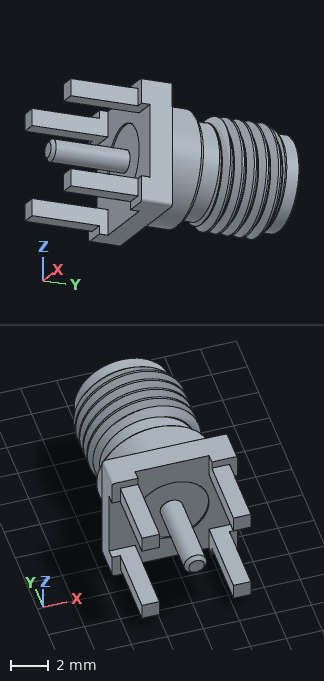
import cadquery as cq
import math


total_length = 13.5
foot_face = 3.9
plate_bottom = 4.4
plate_top = 5.7
collar_top = 7.7
thread_start = 8.8
thread_end = 12.7

plate_width = 7.0
plate_corner_radius = 0.19
leg_width = 0.99
leg_inner = 2.05

collar_radius = 3.25
collar_chamfer = 0.2
barrel_radius = 2.67
barrel_chamfer = 0.1

thread_pitch = 0.7
crest_radius = 3.12
root_radius = 2.69
crest_flat = 0.12
root_flat = 0.05
lead_in_turns = 2
lead_out_turns = 1
first_root_height = 0.12

insulator_radius = 2.05
insulator_recess = 0.1
pin_radius = 0.63
pin_chamfer = 0.2


def rod(radius, start, end):
    """Cylinder on the Y axis from start to end."""
    return cq.Workplane("XZ", origin=(0, start, 0)).circle(radius).extrude(start - end)


def make_thread():
    """Threaded sleeve: cylinder with a helical V-groove cut into it and conical ends."""
    length = thread_end - thread_start
    bevel = crest_radius - barrel_radius
    sleeve = cq.Workplane("XY").circle(crest_radius).circle(insulator_radius).extrude(length)
    envelope = (
        cq.Workplane("XZ")
        .polyline([
            (insulator_radius, 0),
            (barrel_radius, 0),
            (crest_radius, bevel),
            (crest_radius, length - bevel),
            (barrel_radius, length),
            (insulator_radius, length),
        ])
        .close()
        .revolve(360, (0, 0), (0, 1))
    )

    flank_slope = (thread_pitch - crest_flat - root_flat) / 2 / (crest_radius - root_radius)
    overshoot = crest_flat / 3 / flank_slope
    outer_radius = crest_radius + overshoot
    root_half = root_flat / 2
    mouth_half = root_half + flank_slope * (outer_radius - root_radius)

    groove_start = first_root_height - lead_in_turns * thread_pitch
    turns = lead_in_turns + math.ceil(length / thread_pitch) + lead_out_turns
    helix = cq.Wire.makeHelix(thread_pitch, turns * thread_pitch, root_radius)
    groove = (
        cq.Workplane("XZ")
        .polyline([
            (root_radius, -root_half),
            (outer_radius, -mouth_half),
            (outer_radius, mouth_half),
            (root_radius, root_half),
        ])
        .close()
        .sweep(cq.Workplane(helix), isFrenet=True)
        .translate((0, 0, groove_start))
    )
    thread = sleeve.cut(groove).intersect(envelope)
    return thread.rotate((0, 0, 0), (1, 0, 0), -90).translate((0, thread_start, 0))


def make_base():
    """Square plate with a foot and a square leg at each corner."""
    base = (
        cq.Workplane("XZ", origin=(0, foot_face, 0))
        .rect(plate_width, plate_width)
        .extrude(foot_face - plate_top)
        .edges("|Y")
        .fillet(plate_corner_radius)
    )
    channel_depth = plate_bottom - foot_face
    for width, height in ((2 * leg_inner, plate_width), (plate_width, 2 * leg_inner)):
        channel = cq.Workplane("XZ", origin=(0, foot_face, 0)).rect(width, height).extrude(-channel_depth)
        base = base.cut(channel)
    leg_spacing = 2 * leg_inner + leg_width
    legs = (
        cq.Workplane("XZ")
        .rarray(leg_spacing, leg_spacing, 2, 2)
        .rect(leg_width, leg_width)
        .extrude(-plate_bottom)
    )
    return base.union(legs)


def make_housing():
    """Base, collar and threaded barrel in one piece, with a bore right through."""
    collar = rod(collar_radius, plate_top, collar_top).faces(">Y").chamfer(collar_chamfer)
    barrel = rod(barrel_radius, collar_top, total_length).faces(">Y").chamfer(barrel_chamfer)
    bore = rod(insulator_radius, plate_bottom, total_length)
    return make_base().union(collar).union(barrel).union(make_thread()).cut(bore)


def make_pin():
    """Centre pin with a chamfered solder end."""
    return rod(pin_radius, 0, total_length).faces("<Y").chamfer(pin_chamfer)


def make_insulator():
    """Sleeve that fills the bore around the pin, set back slightly from the plate."""
    insulator_start = plate_bottom + insulator_recess
    sleeve = rod(insulator_radius, insulator_start, total_length)
    return sleeve.cut(rod(pin_radius, insulator_start, total_length))


housing = make_housing()
insulator = make_insulator()
pin = make_pin()

result = cq.Compound.makeCompound([housing.val(), insulator.val(), pin.val()])